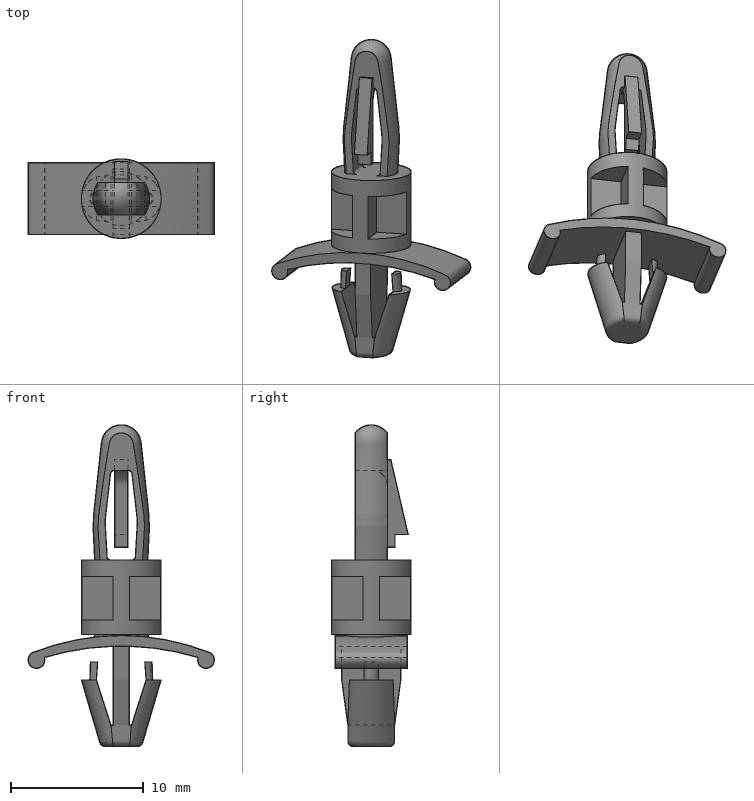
import cadquery as cq
import math

total_height = 24.2
collar_bottom = 8.42
collar_top = 14.04

collar_radius = 3.0
web_thickness = 1.2
window_bottom = 9.53
window_top = 12.8

post_base_radius = 2.0
bulge_radius = 2.13
bulge_height = 16.6
shoulder_radius = 2.08
shoulder_height = 17.47
dome_radius = 1.5
dome_start = 22.85
post_thickness = 2.42
eye_top = 20.76
eye_top_half_width = 0.77
eye_middle = 16.96
eye_middle_half_width = 1.2
eye_bottom_half_width = 1.05
eye_top_fillet = 0.3
eye_bottom_fillet = 0.25
eye_side_fillet = 4.85
eye_side_margin = 0.25

latch_width = 1.0
latch_top = 21.59
latch_top_y = 1.48
latch_tip_z = 15.95
latch_tip_y = 2.78
latch_heel_y = 1.8
latch_bottom = 14.98
latch_root_radius = 1.14

wing_length = 14.0
wing_width = 5.42
wing_top = 8.35
wing_bottom = 7.55
wing_upper_radius = 18.03
wing_lower_radius = 19.85
bead_radius = 0.63
bead_x = wing_length / 2 - bead_radius
wing_upper_center_z = wing_top - wing_upper_radius
bead_z = wing_upper_center_z + math.sqrt((wing_upper_radius - bead_radius)**2 - bead_x**2)
wing_upper_end_x = bead_x * wing_upper_radius / (wing_upper_radius - bead_radius)
neck_radius = 2.03

block_top = 1.62
barb_top = 5.0
block_half_depth = 1.77
rib_half_depth = 2.23
tip_corner_x = 0.6
tip_apex_x = 1.52
block_corner_x = 0.77
block_apex_x = 2.0
barb_corner_x = 1.86
barb_apex_x = 3.0
barb_half_depth = 1.65
tip_fillet = 0.4
finger_top = 6.36
finger_half_depth = 0.55
finger_base_apex_x = 2.37
finger_top_corner_x = 1.77
finger_top_apex_x = 2.32


def make_collar():
    collar = cq.Workplane("XY").workplane(offset=collar_bottom)
    collar = collar.circle(collar_radius).extrude(collar_top - collar_bottom)
    window_size = collar_radius
    window_center = web_thickness / 2 + window_size / 2
    corners = [(sx * window_center, sy * window_center) for sx in (-1, 1) for sy in (-1, 1)]
    windows = (
        cq.Workplane("XY").workplane(offset=window_bottom)
        .pushPoints(corners)
        .rect(window_size, window_size)
        .extrude(window_top - window_bottom)
    )
    return collar.cut(windows)


def make_post():
    dome_rise = total_height - dome_start
    arc_radius = (dome_radius**2 + dome_rise**2) / (2 * dome_rise)
    arc_center = total_height - arc_radius
    half_angle = math.asin(dome_radius / arc_radius) / 2
    dome_middle = (arc_radius * math.sin(half_angle), arc_center + arc_radius * math.cos(half_angle))
    post = (
        cq.Workplane("XZ")
        .moveTo(0, collar_top)
        .lineTo(post_base_radius, collar_top)
        .lineTo(bulge_radius, bulge_height)
        .lineTo(shoulder_radius, shoulder_height)
        .lineTo(dome_radius, dome_start)
        .threePointArc(dome_middle, (0, total_height))
        .close()
        .revolve(360, (0, 0), (0, 1))
    )
    post_height = total_height - collar_top
    slab = cq.Workplane("XY").workplane(offset=collar_top)
    slab = slab.rect(2 * collar_radius, post_thickness).extrude(post_height)
    side_kinks = cq.selectors.BoxSelector(
        (-collar_radius, -collar_radius, eye_middle - eye_side_margin),
        (collar_radius, collar_radius, eye_middle + eye_side_margin),
    )
    eye = (
        cq.Workplane("XZ")
        .polyline([
            (-eye_bottom_half_width, collar_top),
            (eye_bottom_half_width, collar_top),
            (eye_middle_half_width, eye_middle),
            (eye_top_half_width, eye_top),
            (-eye_top_half_width, eye_top),
            (-eye_middle_half_width, eye_middle),
        ])
        .close()
        .extrude(post_thickness / 2, both=True)
        .faces(">Z").edges("|Y").fillet(eye_top_fillet)
        .faces("<Z").edges("|Y").fillet(eye_bottom_fillet)
        .edges("|Y").edges(side_kinks)
        .fillet(eye_side_fillet)
    )
    return post.intersect(slab).cut(eye)


def make_latch():
    face_y = post_thickness / 2
    root_y = face_y - latch_root_radius
    root_bottom = eye_top - latch_root_radius
    diagonal = latch_root_radius * math.sqrt(0.5)
    return (
        cq.Workplane("YZ")
        .moveTo(root_y, eye_top)
        .threePointArc((root_y + diagonal, root_bottom + diagonal), (face_y, root_bottom))
        .lineTo(face_y, latch_bottom)
        .lineTo(latch_heel_y, latch_bottom)
        .lineTo(latch_heel_y, latch_tip_z)
        .lineTo(latch_tip_y, latch_tip_z)
        .lineTo(latch_top_y, latch_top)
        .lineTo(root_y, latch_top)
        .close()
        .extrude(latch_width / 2, both=True)
    )


def arc_height(crown, radius, x):
    """Height at x of a circular arch whose highest point is crown."""
    return crown - radius + math.sqrt(radius**2 - x**2)


def make_wing():
    upper_end_z = arc_height(wing_top, wing_upper_radius, wing_upper_end_x)
    lower_end_z = arc_height(wing_bottom, wing_lower_radius, bead_x)
    wing = (
        cq.Workplane("XZ")
        .moveTo(-wing_upper_end_x, upper_end_z)
        .threePointArc((0, wing_top), (wing_upper_end_x, upper_end_z))
        .lineTo(bead_x, lower_end_z)
        .threePointArc((0, wing_bottom), (-bead_x, lower_end_z))
        .close()
        .extrude(wing_width / 2, both=True)
    )
    beads = (
        cq.Workplane("XZ")
        .pushPoints([(-bead_x, bead_z), (bead_x, bead_z)])
        .circle(bead_radius)
        .extrude(wing_width / 2, both=True)
    )
    neck_bottom = (wing_top + wing_bottom) / 2
    neck = cq.Workplane("XY").workplane(offset=neck_bottom)
    neck = neck.circle(neck_radius).extrude(collar_bottom - neck_bottom)
    return wing.union(beads).union(neck)


def loft_half_round(lower, upper):
    """Loft between two arc-and-chord sections given as (z, chord x, apex x, half depth)."""
    loft = cq.Workplane("XY")
    previous_z = 0
    for z, chord_x, apex_x, half_depth in (lower, upper):
        loft = (
            loft.workplane(offset=z - previous_z)
            .moveTo(chord_x, -half_depth)
            .threePointArc((apex_x, 0), (chord_x, half_depth))
            .close()
        )
        previous_z = z
    return loft.loft(ruled=True)


def make_anchor_block():
    block = cq.Workplane("XY")
    sections = [(0, tip_corner_x, tip_apex_x), (block_top, block_corner_x, block_apex_x)]
    for rise, corner_x, apex_x in sections:
        block = (
            block.workplane(offset=rise)
            .moveTo(-corner_x, -block_half_depth)
            .lineTo(corner_x, -block_half_depth)
            .threePointArc((apex_x, 0), (corner_x, block_half_depth))
            .lineTo(-corner_x, block_half_depth)
            .threePointArc((-apex_x, 0), (-corner_x, -block_half_depth))
            .close()
        )
    return block.loft(ruled=True).faces("<Z").edges().fillet(tip_fillet)


def make_anchor():
    rib = (
        cq.Workplane("YZ")
        .polyline([
            (-block_half_depth, block_top),
            (block_half_depth, block_top),
            (rib_half_depth, barb_top),
            (rib_half_depth, wing_bottom),
            (-rib_half_depth, wing_bottom),
            (-rib_half_depth, barb_top),
        ])
        .close()
        .extrude(web_thickness / 2, both=True)
    )
    barb = loft_half_round(
        (block_top, block_corner_x, block_apex_x, block_half_depth),
        (barb_top, barb_corner_x, barb_apex_x, barb_half_depth),
    )
    finger = loft_half_round(
        (barb_top, barb_corner_x, finger_base_apex_x, finger_half_depth),
        (finger_top, finger_top_corner_x, finger_top_apex_x, finger_half_depth),
    )
    arm = barb.union(finger)
    return make_anchor_block().union(rib).union(arm).union(arm.mirror("YZ"))


result = make_collar().union(make_post()).union(make_latch()).union(make_wing()).union(make_anchor())